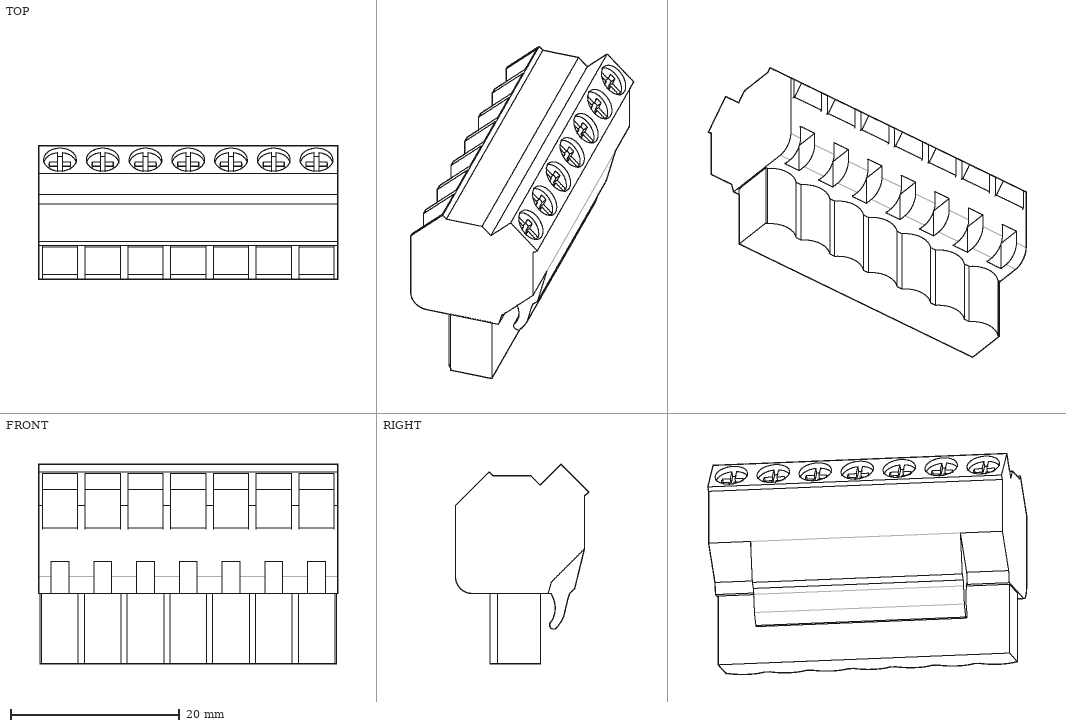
import cadquery as cq
import math

ROOT2 = math.sqrt(2)

poles = 7
length = 35.55
pitch = length / poles
pole_centers = [(i - (poles - 1) / 2) * pitch for i in range(poles)]

depth = 15.9
ridge_y = 12.55
ridge_z = 15.4
back_y = 15.35
lip_drop = 0.43
lip_z = ridge_z - (depth - ridge_y)
valley_y = 10.05
valley_z = ridge_z - (ridge_y - valley_y)
roof_z = 14.0
roof_back_y = valley_y - (roof_z - valley_z)
front_z = 10.45
bevel_y = 4.02
bevel_z = front_z + bevel_y
roof_front_y = bevel_y + (bevel_z - roof_z)
heel_y = 11.4
heel_z = 1.4
toe_y = 11.02
slope_top_z = heel_z + (back_y - heel_y)
front_edge_radius = 2.03

skirt_height = 8.35
skirt_length = 35.28
skirt_back_y = 10.15
skirt_flat_y = 4.98
lobe_width = 4.35
lobe_bulge = 0.9

pocket_width = 4.2
pocket_depth = 2.75
pocket_margin = 0.25
pocket_bottom_z = 7.8
pocket_length = (bevel_y + bevel_z - pocket_bottom_z) / ROOT2 - pocket_margin

notch_width = 2.15
notch_height = 3.8
notch_depth = 3.0

latch_length = (poles - 2) * pitch
latch_shoulder_top = (14.2, 0.6)
latch_shoulder_bottom = (13.6, 0)
latch_neck = (13.37, -0.68)
latch_back_end = (12.87, -2.77)
hook_back_bend = (12.48, -3.5)
hook_tip_back = (11.95, -4.15)
hook_tip = (11.3, -4.05)
hook_tip_inner = (11.4, -3.3)
latch_inner_bend = (11.85, -1.92)
latch_inner_top = (11.35, 0)

screw_diameter = 3.88
screw_length = 3.0
screw_recess = 0.75
slot_depth = 0.68
long_slot_width = 0.57
cross_slot_width = 0.8
cross_slot_length = 2.55


def extrude_along_row(outline, run):
    """Extrude an outline drawn in the YZ plane by `run` along X, centred on X = 0."""
    return outline.close().extrude(run / 2, both=True)


def bevel_plane(x):
    """Plane on the front bevel, at its upper edge; local Y points up the slope."""
    return cq.Plane(origin=(x, bevel_y, bevel_z), xDir=(1, 0, 0), normal=(0, -1, 1))


def back_slope_plane(x):
    """Plane on the middle of the back slope; local Y points down the slope."""
    middle = (x, (ridge_y + depth) / 2, (ridge_z + lip_z) / 2)
    return cq.Plane(origin=middle, xDir=(1, 0, 0), normal=(0, 1, 1))


def make_shell():
    """Main block of the housing, with its lower front edge rounded."""
    outline = cq.Workplane("YZ").polyline([
        (0, 0),
        (0, front_z),
        (bevel_y, bevel_z),
        (roof_front_y, roof_z),
        (roof_back_y, roof_z),
        (valley_y, valley_z),
        (ridge_y, ridge_z),
        (depth, lip_z),
        (back_y, lip_z - lip_drop),
        (back_y, slope_top_z),
        (heel_y, heel_z),
        (toe_y, 0),
    ])
    shell = extrude_along_row(outline, length)
    lower_front_edge = cq.selectors.NearestToPointSelector((0, 0, 0))
    return shell.edges(lower_front_edge).fillet(front_edge_radius)


def make_latch():
    """Latch that fills the lower back corner and hangs below it as a thin hook."""
    outline = (
        cq.Workplane("YZ")
        .moveTo(toe_y, 0)
        .lineTo(heel_y, heel_z)
        .lineTo(back_y, slope_top_z)
        .lineTo(*latch_shoulder_top)
        .lineTo(*latch_shoulder_bottom)
        .lineTo(*latch_neck)
        .lineTo(*latch_back_end)
        .threePointArc(hook_back_bend, hook_tip_back)
        .threePointArc(hook_tip, hook_tip_inner)
        .threePointArc(latch_inner_bend, latch_inner_top)
    )
    return extrude_along_row(outline, latch_length)


def make_skirt():
    """Plug skirt: a slab whose front carries one rounded lobe per pole."""
    outline = (
        cq.Workplane("XY")
        .moveTo(skirt_length / 2, skirt_back_y)
        .lineTo(-skirt_length / 2, skirt_back_y)
        .lineTo(-skirt_length / 2, skirt_flat_y)
    )
    for x in pole_centers:
        outline = outline.lineTo(x - lobe_width / 2, skirt_flat_y).threePointArc(
            (x, skirt_flat_y - lobe_bulge), (x + lobe_width / 2, skirt_flat_y)
        )
    return outline.lineTo(skirt_length / 2, skirt_flat_y).close().extrude(-skirt_height)


def make_wire_pocket(x):
    return (
        cq.Workplane(bevel_plane(x))
        .center(0, -pocket_margin - pocket_length / 2)
        .rect(pocket_width, pocket_length)
        .extrude(-pocket_depth)
    )


def make_notch(x):
    return cq.Workplane("XY").box(
        notch_width, notch_depth, notch_height, centered=(True, False, False)
    ).translate((x, 0, 0))


def make_screw_bore(x):
    return (
        cq.Workplane(back_slope_plane(x))
        .circle(screw_diameter / 2)
        .extrude(-screw_recess - screw_length)
    )


def make_screw(x):
    """Screw with one slot across its whole head and a shorter, round-ended one across that."""
    head = cq.Workplane(back_slope_plane(x)).workplane(offset=-screw_recess)
    screw = head.circle(screw_diameter / 2).extrude(-screw_length)
    long_slot = head.rect(long_slot_width, screw_diameter).extrude(-slot_depth)
    cross_slot = head.rect(cross_slot_length, cross_slot_width).extrude(-slot_depth)
    slot_ends = head.circle(cross_slot_length / 2).extrude(-slot_depth)
    return screw.cut(long_slot).cut(cross_slot.intersect(slot_ends))


def make_housing():
    housing = make_shell().union(make_latch()).union(make_skirt())
    for x in pole_centers:
        housing = housing.cut(make_wire_pocket(x)).cut(make_notch(x)).cut(make_screw_bore(x))
    return housing


housing = make_housing()
screws = [make_screw(x) for x in pole_centers]

result = cq.Compound.makeCompound([housing.val(), *[screw.val() for screw in screws]])